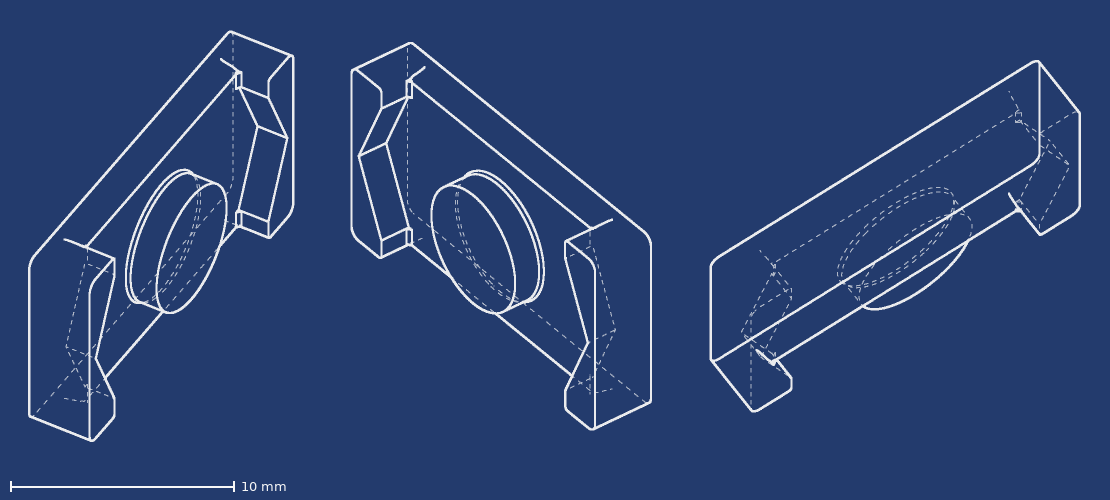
import cadquery as cq

THICKNESS = 3.15
LENGTH = 18.0
HEIGHT = 9.7
CORNER_RADIUS = 0.5

PLATE_THICKNESS = 0.54
FLOOR_X = 1.6
WEB_SLOPE_DROP = 0.09
WEB_BEVEL_LENGTH = 0.27
WEB_BEVEL_DROP = 0.1

EAR_WIDTH = 2.21
EAR_LIP_RADIUS = 0.18
EAR_LAND_HEIGHT = 1.08
EAR_NOTCH_DEPTH = 1.67
EAR_ROOT_RISE = 0.15
EAR_ROOT_WIDTH = 0.22

BOSS_RADIUS = 3.1
BOSS_FLARE_LENGTH = 0.2
BOSS_FLARE = 0.09

HALF_HEIGHT = HEIGHT / 2
HALF_GAP = LENGTH / 2 - EAR_WIDTH
NOTCH_START_Z = HALF_HEIGHT - EAR_LAND_HEIGHT


def rounded_block():
    block = cq.Workplane("YZ").rect(LENGTH, HEIGHT).extrude(THICKNESS)
    return block.edges("|X").fillet(CORNER_RADIUS)


def gap_cutter():
    """Gap between the ears: V-notched ends and flared mouths at top and bottom."""
    lip_z = HALF_HEIGHT - EAR_LIP_RADIUS
    lip_y = HALF_GAP + EAR_LIP_RADIUS
    notch_y = HALF_GAP + EAR_NOTCH_DEPTH
    return (
        cq.Workplane("YZ", origin=(PLATE_THICKNESS, 0, 0))
        .moveTo(-lip_y, HALF_HEIGHT)
        .lineTo(lip_y, HALF_HEIGHT)
        .radiusArc((HALF_GAP, lip_z), -EAR_LIP_RADIUS)
        .lineTo(HALF_GAP, NOTCH_START_Z)
        .lineTo(notch_y, 0)
        .lineTo(HALF_GAP, -NOTCH_START_Z)
        .lineTo(HALF_GAP, -lip_z)
        .radiusArc((lip_y, -HALF_HEIGHT), -EAR_LIP_RADIUS)
        .lineTo(-lip_y, -HALF_HEIGHT)
        .radiusArc((-HALF_GAP, -lip_z), -EAR_LIP_RADIUS)
        .lineTo(-HALF_GAP, -NOTCH_START_Z)
        .lineTo(-notch_y, 0)
        .lineTo(-HALF_GAP, NOTCH_START_Z)
        .lineTo(-HALF_GAP, lip_z)
        .radiusArc((-lip_y, HALF_HEIGHT), -EAR_LIP_RADIUS)
        .close()
        .extrude(THICKNESS - PLATE_THICKNESS)
    )


def web():
    """Web filling the gap up to its floor, with sloped and bevelled long edges."""
    slope_end_x = FLOOR_X - WEB_BEVEL_LENGTH
    slope_end_z = HALF_HEIGHT - WEB_SLOPE_DROP
    floor_edge_z = slope_end_z - WEB_BEVEL_DROP
    width = 2 * (HALF_GAP + EAR_NOTCH_DEPTH)
    return (
        cq.Workplane("XZ")
        .moveTo(PLATE_THICKNESS, -HALF_HEIGHT)
        .lineTo(slope_end_x, -slope_end_z)
        .lineTo(FLOOR_X, -floor_edge_z)
        .lineTo(FLOOR_X, floor_edge_z)
        .lineTo(slope_end_x, slope_end_z)
        .lineTo(PLATE_THICKNESS, HALF_HEIGHT)
        .close()
        .extrude(width / 2, both=True)
    )


def ear_root(side):
    """Mitred chamfer strips in the corner between the floor and the straight lands of one ear."""
    wall_y = side * HALF_GAP
    land = EAR_LAND_HEIGHT - EAR_LIP_RADIUS
    strip = (
        cq.Workplane("XY", origin=(0, 0, NOTCH_START_Z))
        .moveTo(FLOOR_X - WEB_BEVEL_LENGTH, wall_y)
        .lineTo(FLOOR_X + EAR_ROOT_RISE, wall_y)
        .lineTo(FLOOR_X, wall_y - side * EAR_ROOT_WIDTH)
        .close()
        .extrude(land)
    )
    return strip.union(strip.mirror("XY"))


def boss():
    """Cylinder standing on the floor, with a slightly flared root."""
    return (
        cq.Workplane("XY")
        .moveTo(FLOOR_X, 0)
        .lineTo(FLOOR_X, BOSS_RADIUS + BOSS_FLARE)
        .lineTo(FLOOR_X + BOSS_FLARE_LENGTH, BOSS_RADIUS)
        .lineTo(THICKNESS, BOSS_RADIUS)
        .lineTo(THICKNESS, 0)
        .close()
        .revolve(360, (0, 0, 0), (1, 0, 0))
    )


gap = gap_cutter()
result = rounded_block().cut(gap).union(web().intersect(gap)).union(boss())
for ear_side in (-1, 1):
    result = result.union(ear_root(ear_side))
result = result.translate((-THICKNESS / 2, 0, 0))